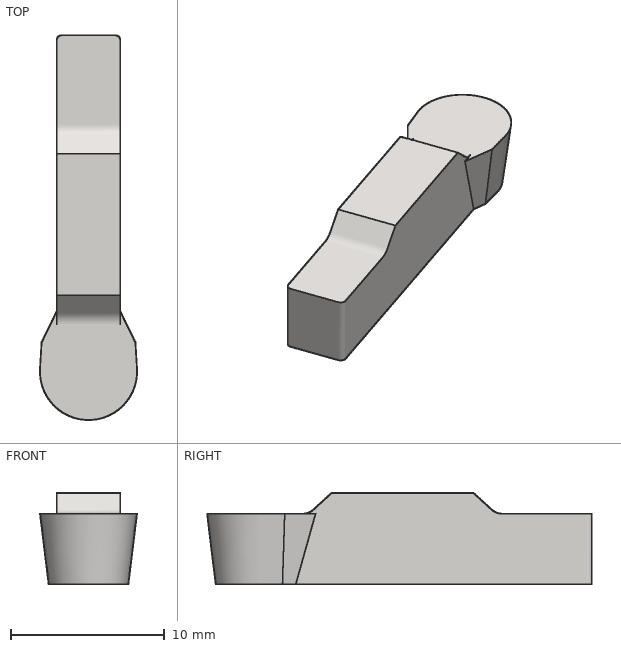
import cadquery as cq
import math

length = 25.05
base_height = 4.6
total_height = 5.95
body_width = 4.15
body_front = 3.75
rear_corner_radius = 0.35

block_front = 8.11
block_rear = 17.33
ramp_angle = math.radians(42.5)
ramp_foot_radius = 1.0

nose_radius = 3.168
flank_angle = math.radians(3.5)
shoulder_start = 5.05
shoulder_angle = math.radians(26)
relief_angle = 7.0


def make_body():
    """Straight bar with a raised block and filleted ramps at both ends of it."""
    ramp_run = (total_height - base_height) / math.tan(ramp_angle)
    front_foot = block_front - ramp_run
    rear_foot = block_rear + ramp_run
    body = (
        cq.Workplane("YZ")
        .moveTo(body_front, 0)
        .lineTo(length, 0)
        .lineTo(length, base_height)
        .lineTo(rear_foot, base_height)
        .lineTo(block_rear, total_height)
        .lineTo(block_front, total_height)
        .lineTo(front_foot, base_height)
        .lineTo(body_front, base_height)
        .close()
        .extrude(body_width / 2, both=True)
    )
    for foot in (front_foot, rear_foot):
        foot_edge = cq.selectors.NearestToPointSelector((0, foot, base_height))
        body = body.edges(foot_edge).fillet(ramp_foot_radius)
    return body.edges("|Z and >Y").fillet(rear_corner_radius)


def make_head():
    """Round nose with tangent flanks and shoulders that close to a point inside the body."""
    arc_end_x = nose_radius * math.cos(flank_angle)
    arc_end_y = nose_radius * (1 + math.sin(flank_angle))
    shoulder_x = arc_end_x - (shoulder_start - arc_end_y) * math.tan(flank_angle)
    shoulder_apex = shoulder_start + shoulder_x / math.tan(shoulder_angle)
    return (
        cq.Workplane("XY")
        .workplane(offset=base_height)
        .moveTo(arc_end_x, arc_end_y)
        .threePointArc((0, 0), (-arc_end_x, arc_end_y))
        .lineTo(-shoulder_x, shoulder_start)
        .lineTo(0, shoulder_apex)
        .lineTo(shoulder_x, shoulder_start)
        .close()
        .extrude(-base_height, taper=relief_angle)
    )


result = make_body().union(make_head())